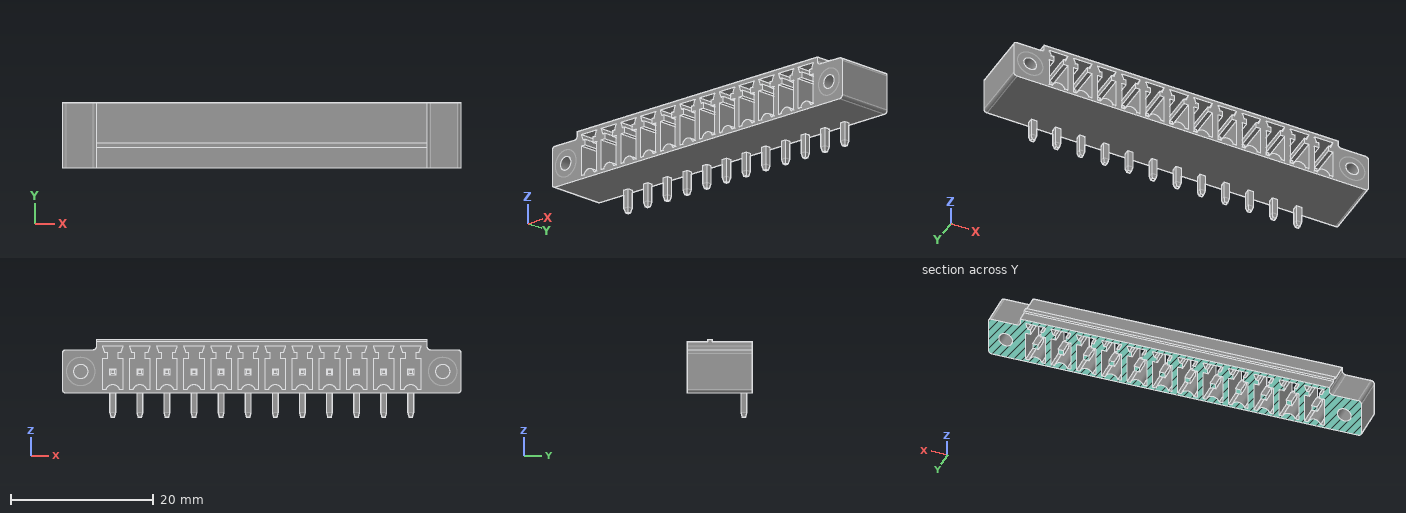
import cadquery as cq
import math

total_width = 56.11
depth = 9.2
body_height = 7.25
flange_height = 6.1
flange_width = 4.8
corner_radius = 0.5

ridge_front = 2.88
ridge_thickness = 0.68
ridge_height = 0.3

contact_count = 12
pitch = 3.81
chamber_depth = 7.0
chamber_width = 2.9
chamber_floor = 0.5
chamber_top = 6.6
neck_width = 1.5
neck_bottom = 4.9
neck_top = 5.75
keyway_bottom_width = 2.3
floor_bead_radius = 1.0
floor_bead_center_z = 0.2

pin_size = 0.85
pin_tip_size = 0.5
pin_taper = 0.7
pin_axis_z = 3.0
pin_tip_y = 2.5
tail_y = 8.0
tail_length = 3.4

insert_diameter = 4.0
insert_bore = 2.0
insert_length = 6.0
insert_edge_distance = 2.6

housing_half = total_width / 2 - flange_width
contact_xs = [(i - (contact_count - 1) / 2) * pitch for i in range(contact_count)]
insert_offset = total_width / 2 - insert_edge_distance
insert_z = flange_height / 2


def make_housing():
    """Housing block with a flange at each end and a ridge on top."""
    flanges = cq.Workplane("XY").box(total_width, depth, flange_height, centered=(True, False, False))
    middle = cq.Workplane("XY").box(2 * housing_half, depth, body_height, centered=(True, False, False))
    flanges = flanges.edges("|Y").fillet(corner_radius)
    housing = flanges.union(middle)
    for side in (-1, 1):
        inner_corner = cq.selectors.NearestToPointSelector((side * housing_half, depth / 2, flange_height))
        housing = housing.edges("|Y").edges(inner_corner).fillet(corner_radius)
    ridge = (
        cq.Workplane("XY")
        .box(2 * housing_half, ridge_thickness, ridge_height, centered=(True, False, False))
        .translate((0, ridge_front, body_height))
    )
    return housing.union(ridge)


def make_chamber(x):
    """Contact chamber: a wide cell with a round bead on its floor, a neck and a dovetail keyway."""
    wall = chamber_width / 2
    neck = neck_width / 2
    keyway = keyway_bottom_width / 2
    bead = math.sqrt(floor_bead_radius**2 - (chamber_floor - floor_bead_center_z) ** 2)
    return (
        cq.Workplane("XZ", origin=(x, 0, 0))
        .moveTo(-wall, chamber_floor)
        .lineTo(-bead, chamber_floor)
        .threePointArc((0, floor_bead_center_z + floor_bead_radius), (bead, chamber_floor))
        .lineTo(wall, chamber_floor)
        .lineTo(wall, neck_bottom)
        .lineTo(neck, neck_bottom)
        .lineTo(neck, neck_top)
        .lineTo(keyway, neck_top)
        .lineTo(wall, chamber_top)
        .lineTo(-wall, chamber_top)
        .lineTo(-keyway, neck_top)
        .lineTo(-neck, neck_top)
        .lineTo(-neck, neck_bottom)
        .lineTo(-wall, neck_bottom)
        .close()
        .extrude(-chamber_depth)
    )


def make_bar(plane, origin, length):
    """Square bar from the origin along the plane normal, tapered at its far end."""
    shank_length = length - pin_taper
    shank = cq.Workplane(plane, origin=origin).rect(pin_size, pin_size).extrude(shank_length)
    tip = (
        cq.Workplane(plane, origin=origin)
        .workplane(offset=shank_length)
        .rect(pin_size, pin_size)
        .workplane(offset=pin_taper)
        .rect(pin_tip_size, pin_tip_size)
        .loft(ruled=True)
    )
    return shank.union(tip)


def make_pin(x):
    """Right-angle pin: contact blade toward the mating face and solder tail downward."""
    bend_y = tail_y + pin_size / 2
    bend_z = pin_axis_z + pin_size / 2
    blade = make_bar("XZ", (x, bend_y, pin_axis_z), bend_y - pin_tip_y)
    tail = make_bar("YX", (x, tail_y, bend_z), bend_z + tail_length)
    return blade.union(tail)


def make_insert_cylinder(x, diameter):
    """Cylinder as long as an insert, running inward from the mating face."""
    return cq.Workplane("XZ", origin=(x, 0, insert_z)).circle(diameter / 2).extrude(-insert_length)


result = make_housing()
for contact_x in contact_xs:
    result = result.cut(make_chamber(contact_x)).union(make_pin(contact_x))

for insert_x in (-insert_offset, insert_offset):
    seat = make_insert_cylinder(insert_x, insert_diameter)
    bore = make_insert_cylinder(insert_x, insert_bore)
    result = result.cut(seat, clean=False).union(seat.cut(bore), clean=False)